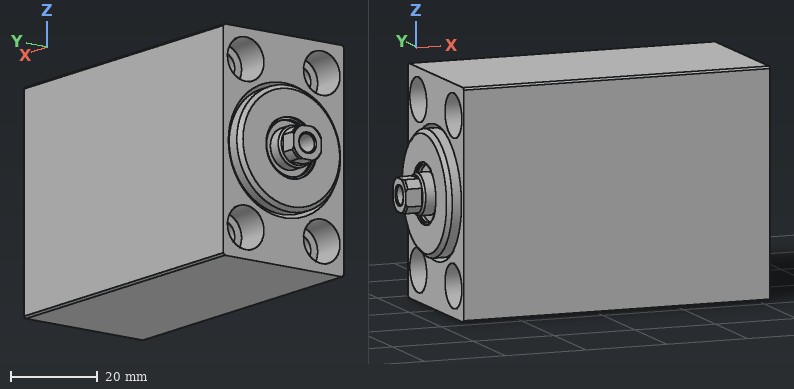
import cadquery as cq
import math

BLOCK_LENGTH = 75.9
BLOCK_WIDTH = 35.0
BLOCK_HEIGHT = 55.0
BLOCK_EDGE_CHAMFER = 0.5

HOLE_SPACING_Y = 22.0
HOLE_SPACING_Z = 39.95
HOLE_DIAMETER = 6.55
COUNTERBORE_DIAMETER = 10.5
COUNTERBORE_DEPTH = 8.5

GLAND_DIAMETER = 30.0
GLAND_PROJECTION = 2.9
GLAND_INSERTION = 15.0
GLAND_CHAMFER_RADIAL = 1.0
GLAND_CHAMFER_AXIAL = 1.0
SEAT_CHAMFER = 1.0

RECESS_DIAMETER = 14.6
RECESS_DEPTH = 0.5
INNER_RECESS_DIAMETER = 13.5
INNER_RECESS_DEPTH = 1.4

TOTAL_LENGTH = 85
ROD_DIAMETER = 10.0
WRENCH_DIAMETER = 9.0
WRENCH_FLATS = 8.0
WRENCH_LENGTH = 4.1
TIP_CHAMFER_RADIAL = 0.25
TIP_CHAMFER_AXIAL = 0.5

ROD_HOLE_DIAMETER = 4.4
ROD_HOLE_DEPTH = 10.0
ROD_HOLE_MOUTH_DIAMETER = 5.0
DRILL_POINT_ANGLE = 118

GLAND_FACE_X = -GLAND_PROJECTION
ROD_TIP_X = BLOCK_LENGTH - TOTAL_LENGTH
SHOULDER_X = ROD_TIP_X + WRENCH_LENGTH


def cylinder(diameter, start_x, end_x):
    """Cylinder on the X axis between two X positions."""
    return cq.Workplane("YZ", origin=(start_x, 0, 0)).circle(diameter / 2).extrude(end_x - start_x)


def revolve_profile(points):
    """Solid of revolution about the X axis from (x, radius) points."""
    return cq.Workplane("XY").polyline(points).close().revolve(360, (0, 0, 0), (1, 0, 0))


def make_housing():
    block = cq.Workplane("XY").box(BLOCK_LENGTH, BLOCK_WIDTH, BLOCK_HEIGHT, centered=(False, True, True))
    block = block.edges("|X").chamfer(BLOCK_EDGE_CHAMFER)

    block = (
        block.faces("<X").workplane(origin=(0, 0, 0))
        .rect(HOLE_SPACING_Y, HOLE_SPACING_Z, forConstruction=True).vertices()
        .cboreHole(HOLE_DIAMETER, COUNTERBORE_DIAMETER, COUNTERBORE_DEPTH)
    )

    seat_radius = GLAND_DIAMETER / 2
    seat = revolve_profile([
        (0, 0),
        (0, seat_radius + SEAT_CHAMFER),
        (SEAT_CHAMFER, seat_radius),
        (GLAND_INSERTION, seat_radius),
        (GLAND_INSERTION, 0),
    ])
    return block.cut(seat)


def make_gland():
    outer_radius = GLAND_DIAMETER / 2
    gland = revolve_profile([
        (GLAND_FACE_X, 0),
        (GLAND_FACE_X, outer_radius - GLAND_CHAMFER_RADIAL),
        (GLAND_FACE_X + GLAND_CHAMFER_AXIAL, outer_radius),
        (GLAND_INSERTION, outer_radius),
        (GLAND_INSERTION, 0),
    ])
    gland = gland.cut(cylinder(RECESS_DIAMETER, GLAND_FACE_X, GLAND_FACE_X + RECESS_DEPTH))
    gland = gland.cut(cylinder(INNER_RECESS_DIAMETER, GLAND_FACE_X, GLAND_FACE_X + INNER_RECESS_DEPTH))
    return gland.cut(cylinder(ROD_DIAMETER, GLAND_FACE_X, GLAND_INSERTION))


def make_wrench_end():
    """Chamfered round stub trimmed to four flats."""
    radius = WRENCH_DIAMETER / 2
    stub = revolve_profile([
        (ROD_TIP_X, 0),
        (ROD_TIP_X, radius - TIP_CHAMFER_RADIAL),
        (ROD_TIP_X + TIP_CHAMFER_AXIAL, radius),
        (SHOULDER_X, radius),
        (SHOULDER_X, 0),
    ])
    flats = (
        cq.Workplane("YZ", origin=(ROD_TIP_X, 0, 0))
        .rect(WRENCH_FLATS, WRENCH_FLATS).extrude(WRENCH_LENGTH)
    )
    return stub.intersect(flats)


def make_rod_hole():
    """Drilled hole with a chamfered mouth and a conical bottom."""
    radius = ROD_HOLE_DIAMETER / 2
    mouth_radius = ROD_HOLE_MOUTH_DIAMETER / 2
    bottom_x = ROD_TIP_X + ROD_HOLE_DEPTH
    point_length = radius / math.tan(math.radians(DRILL_POINT_ANGLE / 2))
    return revolve_profile([
        (ROD_TIP_X, 0),
        (ROD_TIP_X, mouth_radius),
        (ROD_TIP_X + mouth_radius - radius, radius),
        (bottom_x, radius),
        (bottom_x + point_length, 0),
    ])


def make_rod():
    shoulder_chamfer = (ROD_DIAMETER - WRENCH_DIAMETER) / 2
    shaft = cylinder(ROD_DIAMETER, SHOULDER_X, GLAND_INSERTION).faces("<X").chamfer(shoulder_chamfer)
    return shaft.union(make_wrench_end()).cut(make_rod_hole())


housing = make_housing()
gland = make_gland()
rod = make_rod()

result = cq.Compound.makeCompound([housing.val(), gland.val(), rod.val()])